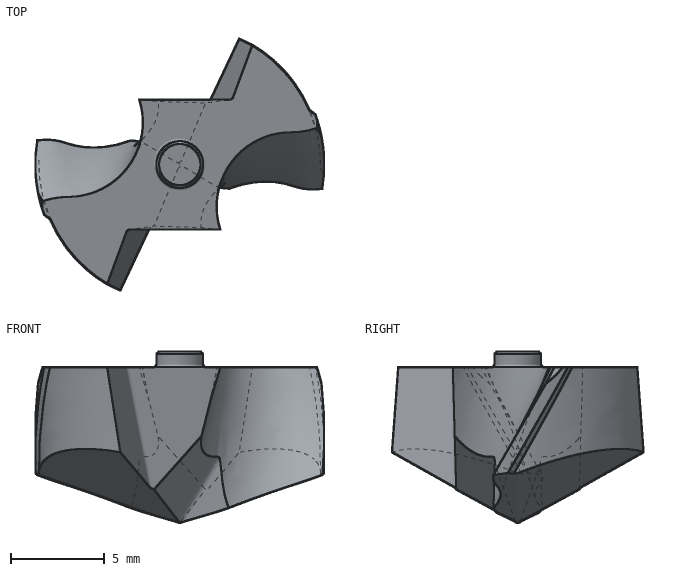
import cadquery as cq
import math


POINT_DEPTH = 8.30
MARGIN_RADIUS = 7.7
HELIX_ANGLE = 30.0
LAND_START_RADIUS = 7.50
LAND_HEEL_RADIUS = 7.36
MARGIN_ANGLE = 15.0
STEP_OUTER_ANGLE = 20.3
STEP_INNER_ANGLE = 22.8

FLUTE_CENTER = (5.93, -2.24)
FLUTE_RADIUS = 3.96

PRIMARY_RISE = (0.353, 0.10)
SECONDARY_RISE = (-0.353, -0.395)
GASH_RISE = (1.092, -1.0)

GASH_ANGLE = -31.0
GASH_WALL_LENGTH = 2.0
GASH_NOSE_RADIUS = 1.8
GASH_NOSE_END = 5.0
GASH_ROOT_RADIUS = 0.3

NOTCH_WALL_Y = -3.46
NOTCH_WALL_TILT = 1.6
DRIVE_FACE_ANGLE = 69.7
DRIVE_FACE_LEAN = 9.7
NOTCH_ROOT_RADIUS = 0.2

RELIEF_X = 7.31
RELIEF_TILT = 15.5

PIN_HEIGHT = 0.84
PIN_RADIUS = 1.25
PIN_CHAMFER = 0.15
PIN_ROOT_RADIUS = 0.14

REACH = 30.0
TIP = (0, 0, -POINT_DEPTH)


def polar(radius, angle):
    """Point at a radius and an angle in degrees."""
    turn = math.radians(angle)
    return (radius * math.cos(turn), radius * math.sin(turn))


def same(point):
    """The point itself."""
    return point


def opposite(point):
    """The point half a turn around the axis."""
    return (-point[0], -point[1])


def half_space(origin, normal):
    """Large block that fills the side of a plane that the normal points to."""
    plane = cq.Plane(origin=origin, normal=normal)
    return cq.Workplane(plane).rect(2 * REACH, 2 * REACH).extrude(REACH)


def below_face(rise):
    """Everything under a point face that passes through the tip."""
    return half_space(TIP, (rise[0], rise[1], -1))


def cut_both(body, cutter):
    """Cut the same shape on both sides of the axis."""
    return body.cut(cutter).cut(cutter.rotate((0, 0, 0), (0, 0, 1), 180))


def flute_land_point():
    """Outer crossing of the flute circle and the land circle, on the trailing side."""
    center_x, center_y = FLUTE_CENTER
    distance = math.hypot(center_x, center_y)
    cosine = (LAND_HEEL_RADIUS**2 + distance**2 - FLUTE_RADIUS**2) / (2 * LAND_HEEL_RADIUS * distance)
    bearing = math.degrees(math.atan2(center_y, center_x) - math.acos(cosine))
    return polar(LAND_HEEL_RADIUS, bearing), bearing


def make_body():
    """Twisted body with two lands, two margins and two flutes."""
    heel, heel_angle = flute_land_point()
    center_x, center_y = FLUTE_CENTER
    flute_side = (center_x - FLUTE_RADIUS, center_y)
    flute_top = (center_x, center_y + FLUTE_RADIUS)
    margin_edge = polar(MARGIN_RADIUS, MARGIN_ANGLE)
    margin_middle = polar(MARGIN_RADIUS, (MARGIN_ANGLE + STEP_OUTER_ANGLE) / 2)
    step_outer = polar(MARGIN_RADIUS, STEP_OUTER_ANGLE)
    step_inner = polar(LAND_START_RADIUS, STEP_INNER_ANGLE)
    land_middle = polar((LAND_START_RADIUS + LAND_HEEL_RADIUS) / 2, (STEP_INNER_ANGLE + heel_angle + 180) / 2)

    outline = cq.Workplane("XY", origin=(0, 0, -POINT_DEPTH)).moveTo(*heel)
    for place in (same, opposite):
        outline = outline.threePointArc(place(flute_side), place(flute_top))
        outline = outline.tangentArcPoint(place(margin_edge), relative=False)
        outline = outline.threePointArc(place(margin_middle), place(step_outer))
        outline = outline.lineTo(*place(step_inner))
        outline = outline.threePointArc(place(land_middle), place(opposite(heel)))
    twist = math.degrees(POINT_DEPTH * math.tan(math.radians(HELIX_ANGLE)) / MARGIN_RADIUS)
    body = outline.close().twistExtrude(POINT_DEPTH, twist)
    return body.rotate((0, 0, 0), (0, 0, 1), -twist)


def make_point_relief():
    """Primary relief of one lip and secondary relief of the other."""
    front_half = half_space((0, 0, 0), (0, -1, 0))
    relief = below_face(PRIMARY_RISE).union(below_face(SECONDARY_RISE))
    return relief.intersect(front_half)


def make_gash():
    """Gash beside the web, with a rounded nose and a rounded root."""
    wall_end = polar(GASH_WALL_LENGTH, GASH_ANGLE)
    to_center = polar(GASH_NOSE_RADIUS, GASH_ANGLE + 90)
    nose_center = (wall_end[0] + to_center[0], wall_end[1] + to_center[1])
    to_nose_end = polar(GASH_NOSE_RADIUS, GASH_NOSE_END - 90)
    nose_end = (nose_center[0] + to_nose_end[0], nose_center[1] + to_nose_end[1])
    plan = (
        cq.Workplane("XY", origin=(0, 0, -REACH))
        .moveTo(*polar(REACH, GASH_ANGLE + 180))
        .lineTo(*wall_end)
        .tangentArcPoint(nose_end, relative=False)
        .lineTo(REACH, -REACH)
        .lineTo(-REACH, -REACH)
        .close()
    )
    gash = plan.extrude(2 * REACH).intersect(below_face(GASH_RISE))
    along_x, along_y = polar(1, GASH_ANGLE)
    climb = GASH_RISE[0] * along_x + GASH_RISE[1] * along_y
    root = cq.selectors.ParallelDirSelector(cq.Vector(along_x, along_y, climb))
    return gash.edges(root).fillet(GASH_ROOT_RADIUS)


def make_drive_notch():
    """Notch between the drive face and the back wall, with a rounded root."""
    lean = math.tan(math.radians(DRIVE_FACE_LEAN))
    tilt = math.tan(math.radians(NOTCH_WALL_TILT))
    drive_normal = cq.Vector(*polar(1, DRIVE_FACE_ANGLE - 90), lean)
    wall_normal = cq.Vector(0, -1, -tilt)
    notch = half_space(TIP, drive_normal).intersect(half_space((0, NOTCH_WALL_Y, 0), wall_normal))
    root = cq.selectors.ParallelDirSelector(drive_normal.cross(wall_normal))
    return notch.edges(root).fillet(NOTCH_ROOT_RADIUS)


def make_margin_relief():
    """Sliver off the leading edge of a margin, next to the seat."""
    return half_space((RELIEF_X, 0, 0), (1, 0, math.tan(math.radians(RELIEF_TILT))))


def make_pin():
    """Chamfered centring pin that flares into the seat face."""
    root_radius = PIN_RADIUS + PIN_ROOT_RADIUS
    half_profile = (
        cq.Workplane("XZ")
        .moveTo(0, 0)
        .lineTo(root_radius, 0)
        .radiusArc((PIN_RADIUS, PIN_ROOT_RADIUS), PIN_ROOT_RADIUS)
        .lineTo(PIN_RADIUS, PIN_HEIGHT - PIN_CHAMFER)
        .lineTo(PIN_RADIUS - PIN_CHAMFER, PIN_HEIGHT)
        .lineTo(0, PIN_HEIGHT)
        .close()
    )
    return half_profile.revolve(360, (0, 0, 0), (0, 1, 0))


result = make_body()
for cutter in (make_point_relief(), make_gash(), make_drive_notch(), make_margin_relief()):
    result = cut_both(result, cutter)
result = result.union(make_pin())